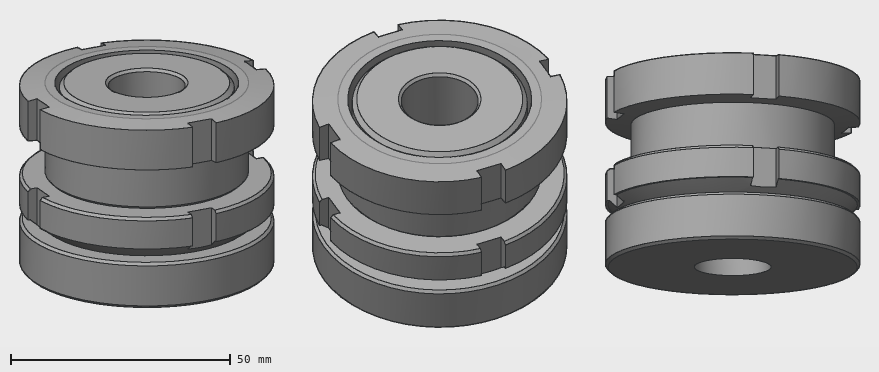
import cadquery as cq
import math

overall_height = 44.0
bore_radius = 8.75
bore_chamfer = 0.65
outer_radius = 29.0
edge_chamfer = 0.65

base_height = 11.0

sphere_radius = 41.75
seat_rim_radius = 28.4
seat_rim_z = 14.5
sphere_center_z = seat_rim_z + math.sqrt(sphere_radius**2 - seat_rim_radius**2)

bearing_flange_top = 22.0
stem_radius = 19.95
stem_chamfer = 1.05

sleeve_radius = 23.2
sleeve_bore_radius = 20.95
sleeve_chamfer = 0.6
collar_rim_bottom = 33.75
collar_face_drop = 0.6

slot_count = 4
slot_width = 6.05
slot_floor_radius = 26.5


def seat_z(radius):
    """Height of the spherical seat at a given distance from the axis."""
    return sphere_center_z - math.sqrt(sphere_radius**2 - radius**2)


def revolve_profile(profile):
    """Turn a closed (radius, height) profile about the Z axis."""
    return profile.close().revolve(360, (0, 0, 0), (0, 1, 0))


def cut_slots(body, bottom, top):
    """Cut evenly spaced flat-floored slots into a flange rim."""
    slot_length = outer_radius - slot_floor_radius
    for i in range(slot_count):
        slot = (
            cq.Workplane("XY")
            .box(slot_length, slot_width, top - bottom, centered=(False, True, False))
            .translate((slot_floor_radius, 0, bottom))
            .rotate((0, 0, 0), (0, 0, 1), i * 360 / slot_count)
        )
        body = body.cut(slot)
    return body


def make_base():
    """Chamfered ring with a spherical dish in its top."""
    disc = cq.Workplane("XY").circle(outer_radius).extrude(base_height)
    disc = disc.edges().chamfer(edge_chamfer)
    dish = cq.Workplane("XY").sphere(sphere_radius).translate((0, 0, sphere_center_z))
    bore = cq.Workplane("XY").circle(bore_radius).extrude(base_height)
    return disc.cut(dish).cut(bore)


def make_bearing():
    """Slotted flange with a spherical underside and a bored stem."""
    middle_radius = (bore_radius + seat_rim_radius) / 2
    profile = (
        cq.Workplane("XZ")
        .moveTo(bore_radius, seat_z(bore_radius))
        .threePointArc((middle_radius, seat_z(middle_radius)), (seat_rim_radius, seat_rim_z))
        .lineTo(outer_radius, seat_rim_z)
        .lineTo(outer_radius, bearing_flange_top - edge_chamfer)
        .lineTo(outer_radius - edge_chamfer, bearing_flange_top)
        .lineTo(stem_radius, bearing_flange_top)
        .lineTo(stem_radius, overall_height - stem_chamfer)
        .lineTo(stem_radius - stem_chamfer, overall_height)
        .lineTo(bore_radius + bore_chamfer, overall_height)
        .lineTo(bore_radius, overall_height - bore_chamfer)
    )
    return cut_slots(revolve_profile(profile), 0, bearing_flange_top)


def make_collar():
    """Sleeve resting on the bearing flange, with a slotted flange at its top."""
    profile = (
        cq.Workplane("XZ")
        .moveTo(sleeve_bore_radius, bearing_flange_top)
        .lineTo(sleeve_radius - sleeve_chamfer, bearing_flange_top)
        .lineTo(sleeve_radius, bearing_flange_top + sleeve_chamfer)
        .lineTo(sleeve_radius, collar_rim_bottom - collar_face_drop)
        .lineTo(outer_radius, collar_rim_bottom)
        .lineTo(outer_radius, overall_height - collar_face_drop)
        .lineTo(sleeve_radius, overall_height)
        .lineTo(sleeve_bore_radius, overall_height)
    )
    return cut_slots(revolve_profile(profile), bearing_flange_top, overall_height)


base = make_base()
bearing = make_bearing()
collar = make_collar()

result = cq.Compound.makeCompound([base.val(), bearing.val(), collar.val()])